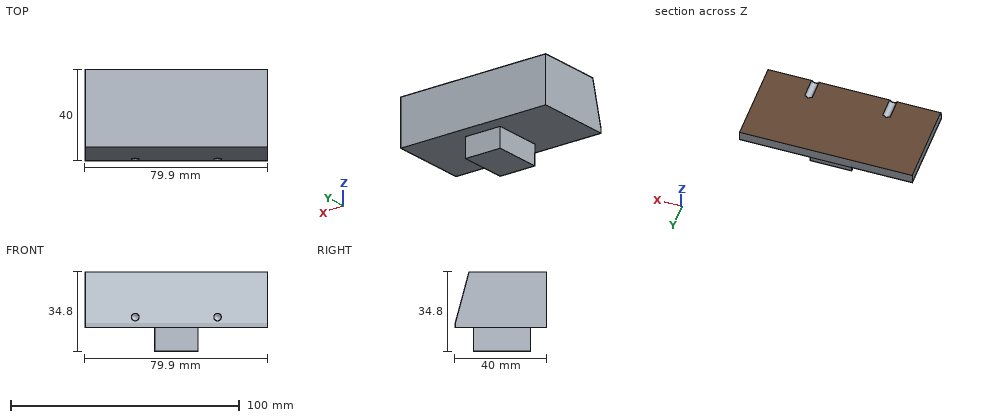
import cadquery as cq
import math

body_length = 79.9
body_depth = 40.0
body_height = 24.35
face_setback = 6.0
face_lean = 15.0
lip_height = body_height - face_setback / math.tan(math.radians(face_lean))

total_height = 34.75
tenon_height = total_height - body_height
tenon_length = 19.1
tenon_depth = 25.0
tenon_back_offset = 7.0

hole_diameter = 3.3
hole_spacing = 36.0
hole_height = 4.6
hole_depth = 10.0
drill_point_angle = 118.0

front_y = -body_depth / 2
back_y = body_depth / 2


def make_body():
    """Extrude the side profile along X; the underside lies on Z = 0."""
    return (
        cq.Workplane("YZ")
        .moveTo(back_y, 0)
        .lineTo(back_y, body_height)
        .lineTo(front_y + face_setback, body_height)
        .lineTo(front_y, lip_height)
        .lineTo(front_y, 0)
        .close()
        .extrude(body_length / 2, both=True)
    )


def make_tenon():
    """Block hanging below the body, centred along X."""
    center_y = back_y - tenon_back_offset - tenon_depth / 2
    return (
        cq.Workplane("XY")
        .center(0, center_y)
        .rect(tenon_length, tenon_depth)
        .extrude(-tenon_height)
    )


def make_drill(x):
    """Cutter for one hole: a cylinder along +Y ending in a drill point."""
    radius = hole_diameter / 2
    point_length = radius / math.tan(math.radians(drill_point_angle / 2))
    bottom_y = front_y + hole_depth
    return (
        cq.Workplane("XY")
        .moveTo(0, front_y)
        .lineTo(radius, front_y)
        .lineTo(radius, bottom_y)
        .lineTo(0, bottom_y + point_length)
        .close()
        .revolve(360, (0, 0, 0), (0, 1, 0))
        .translate((x, 0, hole_height))
    )


result = make_body().union(make_tenon())
for hole_x in (-hole_spacing / 2, hole_spacing / 2):
    result = result.cut(make_drill(hole_x))